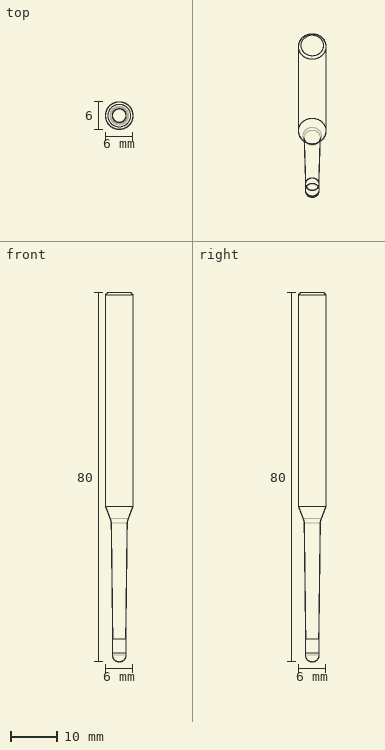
import cadquery as cq
import math

length = 80.0
shank_diameter = 6.0
shank_radius = shank_diameter / 2
shank_chamfer = 0.6

tip_top = 2.0
head_top = 5.0
neck_top = 30.1
cone_bottom = 31.0
cone_top = 33.7

ball_radius = shank_radius / 2
neck_bottom_radius = 1.4
neck_top_radius = 1.8
cone_bottom_radius = 2.0


def turn(profile):
    """Revolve a closed radius-height profile about Z, with its seam facing -Y."""
    seam_angle = -90
    turned = profile.revolve(360, (0, 0, 0), (0, 1, 0))
    return turned.rotate((0, 0, 0), (0, 0, 1), seam_angle)


def make_cutting_tip():
    """Hemispherical nose with a short cylindrical land above it."""
    arc_offset = ball_radius * math.sqrt(0.5)
    profile = (
        cq.Workplane("XZ")
        .moveTo(0, 0)
        .threePointArc((arc_offset, ball_radius - arc_offset), (ball_radius, ball_radius))
        .lineTo(ball_radius, tip_top)
        .lineTo(0, tip_top)
        .close()
    )
    return turn(profile)


def make_holder():
    """Head, tapered neck blending into the transition cone, and chamfered shank."""
    profile = (
        cq.Workplane("XZ")
        .moveTo(0, tip_top)
        .lineTo(ball_radius, tip_top)
        .lineTo(ball_radius, head_top)
        .lineTo(neck_bottom_radius, head_top)
        .lineTo(neck_top_radius, neck_top)
        .tangentArcPoint((cone_bottom_radius, cone_bottom), relative=False)
        .lineTo(shank_radius, cone_top)
        .lineTo(shank_radius, length - shank_chamfer)
        .lineTo(shank_radius - shank_chamfer, length)
        .lineTo(0, length)
        .close()
    )
    return turn(profile)


cutting_tip = make_cutting_tip()
holder = make_holder()

result = cq.Compound.makeCompound([cutting_tip.val(), holder.val()])